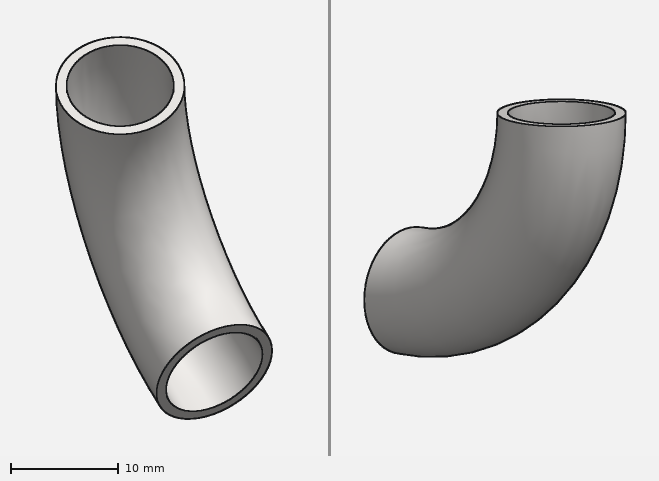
import cadquery as cq

outer_diameter = 12.0
wall_thickness = 1.0
bend_radius = 20.0
bend_angle = 90.0

inner_diameter = outer_diameter - 2 * wall_thickness


def tube_elbow():
    """Sweep the ring-shaped tube section about the bend axis, which is parallel to Y.

    The lower end starts at the origin facing +X. The bend runs towards -X and
    curls up to the open end facing +Z, at the height of the bend axis.
    """
    section_plane = cq.Plane(origin=(0, 0, 0), xDir=(0, 1, 0), normal=(1, 0, 0))
    ring = cq.Workplane(section_plane).circle(outer_diameter / 2).circle(inner_diameter / 2)
    return ring.revolve(bend_angle, (0, bend_radius), (1, bend_radius))


result = tube_elbow()